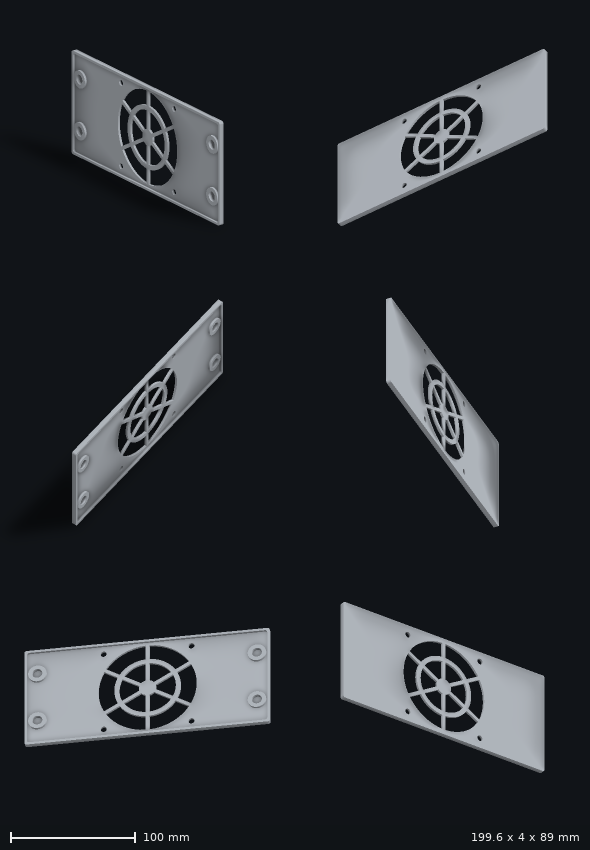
import cadquery as cq

length = 199.6
height = 89.0
thickness = 4.0
corner_radius = 2.0

rim_width = 2.0
recess_depth = 2.0
recess_corner_radius = 2.0

boss_diameter = 15.0
boss_height = recess_depth
boss_hole_diameter = 8.2
boss_floor = 1.0
boss_spacing_x = 178.6
boss_spacing_z = 44.5

fan_diameter = 80.0
ring_outer_diameter = 54.0
ring_inner_diameter = 46.1
hub_diameter = 14.0
spoke_width = 3.0
spoke_bar_count = 3
mount_hole_diameter = 5.0
mount_hole_spacing = 71.5

floor_thickness = thickness - recess_depth


def sketch_plane(level):
    """Plane facing -Y, at the given height above the plain back face."""
    return cq.Workplane("XZ", origin=(0, -level, 0))


def disc(diameter, depth):
    return sketch_plane(0).circle(diameter / 2).extrude(depth)


def make_tray():
    plate = sketch_plane(0).rect(length, height).extrude(thickness)
    plate = plate.edges("|Y").fillet(corner_radius)
    recess = (
        sketch_plane(floor_thickness)
        .rect(length - 2 * rim_width, height - 2 * rim_width)
        .extrude(recess_depth)
        .edges("|Y")
        .fillet(recess_corner_radius)
    )
    return plate.cut(recess)


def make_fan_guard():
    ring = disc(ring_outer_diameter, floor_thickness).cut(disc(ring_inner_diameter, floor_thickness))
    guard = ring.union(disc(hub_diameter, floor_thickness))
    bar = sketch_plane(0).rect(spoke_width, fan_diameter).extrude(floor_thickness)
    for index in range(spoke_bar_count):
        angle = index * 180 / spoke_bar_count
        guard = guard.union(bar.rotate((0, 0, 0), (0, 1, 0), angle))
    return guard


def add_bosses(body):
    bosses = (
        sketch_plane(floor_thickness)
        .rarray(boss_spacing_x, boss_spacing_z, 2, 2)
        .circle(boss_diameter / 2)
        .extrude(boss_height)
    )
    holes = (
        sketch_plane(boss_floor)
        .rarray(boss_spacing_x, boss_spacing_z, 2, 2)
        .circle(boss_hole_diameter / 2)
        .extrude(thickness)
    )
    return body.union(bosses).cut(holes)


def make_mount_holes():
    return (
        sketch_plane(0)
        .rarray(mount_hole_spacing, mount_hole_spacing, 2, 2)
        .circle(mount_hole_diameter / 2)
        .extrude(thickness)
    )


fan_opening = disc(fan_diameter, thickness).cut(make_fan_guard())
panel = make_tray().cut(fan_opening).cut(make_mount_holes())
panel = add_bosses(panel)

result = panel.translate((0, thickness / 2, 0))